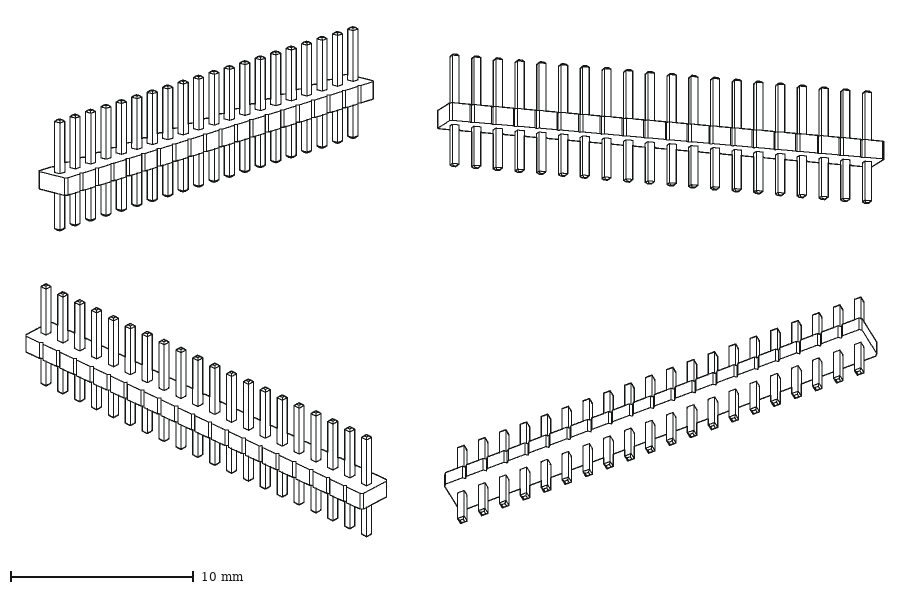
import cadquery as cq

PIN_COUNT = 20
PITCH = 1.27

HOUSING_WIDTH = 2.1
HOUSING_HEIGHT = 1.0
HOUSING_CHAMFER = PITCH / 10

PIN_SIDE = 0.4
PIN_ABOVE_HOUSING = 3.0
PIN_BELOW_HOUSING = 2.3
TIP_HEIGHT = 0.1
TIP_INSET = 0.1

PIN_LENGTH = PIN_BELOW_HOUSING + HOUSING_HEIGHT + PIN_ABOVE_HOUSING


def pin_positions():
    """Y coordinates of the pins, centred on the origin."""
    first = -PITCH * (PIN_COUNT - 1) / 2
    return [first + i * PITCH for i in range(PIN_COUNT)]


def make_block():
    """One housing block with its four upright edges chamfered."""
    return (
        cq.Workplane("XY")
        .box(HOUSING_WIDTH, PITCH, HOUSING_HEIGHT, centered=(True, True, False))
        .edges("|Z")
        .chamfer(HOUSING_CHAMFER)
    )


def make_pin():
    """One square pin with both tips tapered on all four sides."""
    return (
        cq.Workplane("XY")
        .workplane(offset=-PIN_BELOW_HOUSING)
        .box(PIN_SIDE, PIN_SIDE, PIN_LENGTH, centered=(True, True, False))
        .faces(">Z or <Z")
        .chamfer(TIP_HEIGHT, TIP_INSET)
    )


def make_header():
    """Housing blocks joined side by side, each fused with its pin."""
    segment = make_block().union(make_pin())
    header = cq.Workplane("XY")
    for y in pin_positions():
        header = header.union(segment.translate((0, y, 0)))
    return header.clean()


result = make_header()